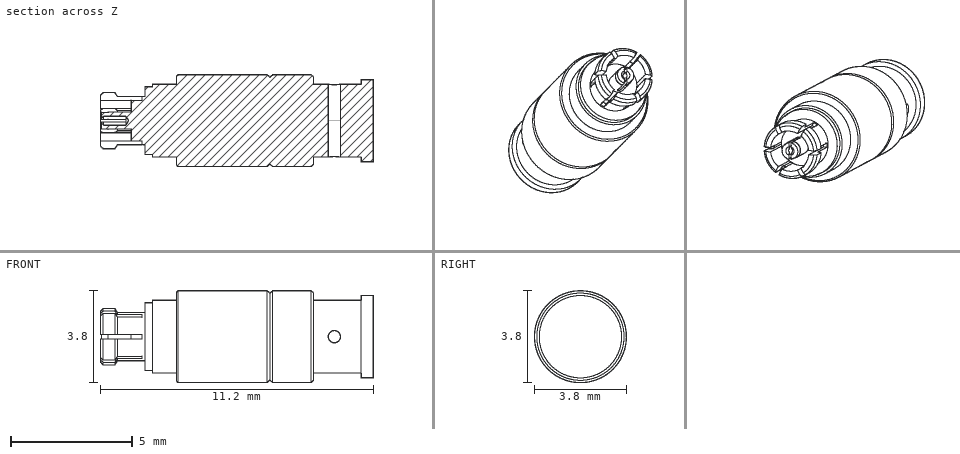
import cadquery as cq
import math

lip_radius = 1.17
neck_radius = 1.0
collar_radius = 1.4
shoulder_radius = 1.51
barrel_radius = 1.9
flange_radius = 1.7

lip_end = 0.6
neck_start = 0.7
collar_start = 1.83
shoulder_start = 2.14
barrel_start = 3.12
groove_center = 6.98
barrel_end = 8.78
flange_start = 10.73
total_length = 11.24

lip_chamfer = 0.11
barrel_front_chamfer = 0.07
barrel_rear_chamfer = 0.1
groove_depth = 0.11

socket_radius = 0.84
socket_depth = 1.26
slot_count = 6
slot_width = 0.18
slot_length = 1.71

contact_front = 0.03
contact_shank_start = 0.31
contact_tip_radius = 0.35
contact_shank_radius = 0.36
contact_bore_radius = 0.18
contact_bore_depth = 1.01
lead_in_depth = 0.09
throat_radius = 0.09
drill_point_angle = 118.0
contact_slit_width = 0.1
contact_slit_length = 1.01

cross_hole_radius = 0.25
cross_hole_x = 9.63


def revolve_about_x(profile):
    """Turn a closed (x, radius) profile into a solid of revolution about X."""
    return cq.Workplane("XZ").polyline(profile).close().revolve(360, (0, 0, 0), (1, 0, 0))


def rod(start, length, radius):
    """Cylinder on the X axis."""
    return cq.Workplane("YZ").workplane(offset=start).circle(radius).extrude(length)


def turned_body():
    """Outer envelope: conical-backed lip, neck, collar, shoulder, grooved barrel and rear flange."""
    profile = [
        (0, 0),
        (0, lip_radius - lip_chamfer),
        (lip_chamfer, lip_radius),
        (lip_end, lip_radius),
        (neck_start, neck_radius),
        (collar_start, neck_radius),
        (collar_start, collar_radius),
        (shoulder_start, collar_radius),
        (shoulder_start, shoulder_radius),
        (barrel_start, shoulder_radius),
        (barrel_start, barrel_radius - barrel_front_chamfer),
        (barrel_start + barrel_front_chamfer, barrel_radius),
        (groove_center - groove_depth, barrel_radius),
        (groove_center, barrel_radius - groove_depth),
        (groove_center + groove_depth, barrel_radius),
        (barrel_end - barrel_rear_chamfer, barrel_radius),
        (barrel_end, barrel_radius - barrel_rear_chamfer),
        (barrel_end, shoulder_radius),
        (flange_start, shoulder_radius),
        (flange_start, flange_radius),
        (total_length, flange_radius),
        (total_length, 0),
    ]
    return revolve_about_x(profile)


def socket_slots():
    """Slots through the socket wall, each opposite pair cut by one bar that spares the interior."""
    bar_length = 2 * collar_radius
    inner_keep = rod(0, slot_length, socket_radius)
    bars = cq.Workplane("XY")
    for index in range(slot_count // 2):
        bar = cq.Workplane("XY").box(slot_length, bar_length, slot_width, centered=(False, True, True))
        bars = bars.add(bar.rotate((0, 0, 0), (1, 0, 0), index * 360 / slot_count))
    return bars.combine().cut(inner_keep)


def center_contact():
    """Split female pin with a stepped outside and a lead-in ahead of its drilled bore."""
    tip = rod(contact_front, contact_shank_start - contact_front, contact_tip_radius)
    shank = rod(contact_shank_start, socket_depth - contact_shank_start, contact_shank_radius)
    bore_start = contact_front + lead_in_depth
    bore_end = contact_front + contact_bore_depth
    point_length = contact_bore_radius / math.tan(math.radians(drill_point_angle / 2))
    bore = revolve_about_x([
        (contact_front, 0),
        (contact_front, contact_bore_radius),
        (bore_start, throat_radius),
        (bore_start, contact_bore_radius),
        (bore_end, contact_bore_radius),
        (bore_end + point_length, 0),
    ])
    slit_height = 2 * contact_shank_radius
    slit = (
        cq.Workplane("XY")
        .box(contact_slit_length, contact_slit_width, slit_height, centered=(False, True, True))
        .translate((contact_front, 0, 0))
    )
    return tip.union(shank).cut(bore).cut(slit)


def cross_hole():
    """Round hole through the shoulder along Y."""
    return (
        cq.Workplane("XZ")
        .center(cross_hole_x, 0)
        .circle(cross_hole_radius)
        .extrude(barrel_radius, both=True)
    )


result = (
    turned_body()
    .cut(rod(0, socket_depth, socket_radius))
    .cut(socket_slots())
    .union(center_contact())
    .cut(cross_hole())
)